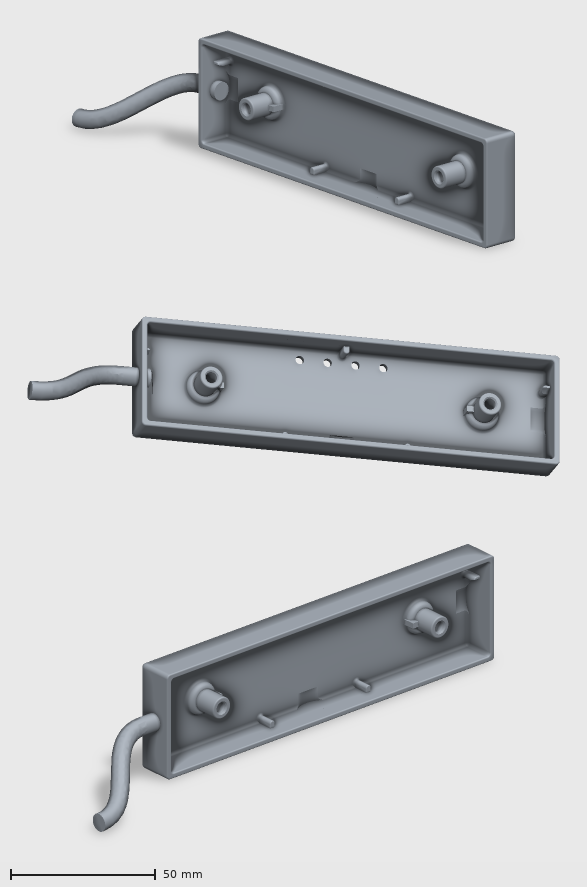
import cadquery as cq

LENGTH = 150.0
DEPTH = 14.0
HEIGHT = 40.0
WALL = 2.0
FLOOR = 2.0
OUTER_RADIUS = 1.5
RIM_RADIUS = 0.5
CAVITY_RADIUS = 1.2

INNER_X = LENGTH / 2 - WALL
INNER_Z = HEIGHT / 2 - WALL
FLOOR_Y = DEPTH - FLOOR

BOSS_X = 50.0
POST_RADIUS = 4.0
POST_TIP_Y = 0.0
POST_TIP_ROUND = 0.5
COLLAR_RADIUS = 6.0
COLLAR_FOOT_ROUND = 1.0
BORE_RADIUS = 2.0
BORE_CHAMFER = 0.5
KEY_REACH = 6.4
KEY_WIDTH = 2.0
KEY_TIP_Y = 7.0

SUPPORT_WIDTH = 2.2
SUPPORT_REACH = 2.6
SUPPORT_TIP_Y = 5.5
SUPPORT_TIP_ROUND = 0.4
SUPPORT_FOOT_ROUND = 0.8
BOTTOM_SUPPORT_X = 22.0
SIDE_SUPPORT_Z = 9.6

INDICATOR_DIAMETER = 3.0
INDICATOR_PITCH = 10.0
INDICATOR_COUNT = 4
INDICATOR_Z = 13.75

CHANNEL_WIDTH = 8.8
CHANNEL_LENGTH = 5.3
CHANNEL_DEPTH = 1.0

CABLE_RADIUS = 3.3
CABLE_Y = DEPTH / 2
CABLE_STRAIGHT = 10.0
CABLE_INSIDE = 4.4
BEND_LENGTH = 39.0
BEND_SHIFT_Y = -22.28
BEND_SHIFT_Z = -16.85
BEND_HANDLE = 19.0


def facing_front(y):
    """Workplane at the given Y whose extrusions run toward -Y; local axes are X and Z."""
    return cq.Workplane("XZ", origin=(0, y, 0))


def make_tray():
    tray = facing_front(DEPTH).rect(LENGTH, HEIGHT).extrude(DEPTH)
    tray = tray.edges("|Y").fillet(OUTER_RADIUS)
    tray = tray.faces(">Y").edges().fillet(OUTER_RADIUS)
    cavity = facing_front(FLOOR_Y).rect(2 * INNER_X, 2 * INNER_Z).extrude(FLOOR_Y)
    cavity = cavity.edges("|Y").fillet(CAVITY_RADIUS)
    cavity = cavity.faces(">Y").edges().fillet(CAVITY_RADIUS)
    return tray.cut(cavity).faces("<Y").edges().fillet(RIM_RADIUS)


def make_boss():
    """Boss on the Y axis, with its key rib on the +X side."""
    collar_round = COLLAR_RADIUS - POST_RADIUS
    collar_y = FLOOR_Y - COLLAR_FOOT_ROUND
    shoulder_y = collar_y - collar_round
    tip_edge_y = POST_TIP_Y + POST_TIP_ROUND
    body = (
        cq.Workplane("XY")
        .moveTo(0, FLOOR_Y)
        .lineTo(COLLAR_RADIUS + COLLAR_FOOT_ROUND, FLOOR_Y)
        .radiusArc((COLLAR_RADIUS, collar_y), -COLLAR_FOOT_ROUND)
        .radiusArc((POST_RADIUS, shoulder_y), collar_round)
        .lineTo(POST_RADIUS, tip_edge_y)
        .radiusArc((POST_RADIUS - POST_TIP_ROUND, POST_TIP_Y), POST_TIP_ROUND)
        .lineTo(0, POST_TIP_Y)
        .close()
        .revolve(360, (0, 0, 0), (0, 1, 0))
    )
    key = facing_front(FLOOR_Y).center(KEY_REACH / 2, 0).rect(KEY_REACH, KEY_WIDTH)
    return body.union(key.extrude(FLOOR_Y - KEY_TIP_Y))


def make_bore():
    """Through bore of a boss, countersunk at the post tip."""
    mouth_radius = BORE_RADIUS + BORE_CHAMFER
    return (
        cq.Workplane("XY")
        .moveTo(0, DEPTH)
        .lineTo(BORE_RADIUS, DEPTH)
        .lineTo(BORE_RADIUS, POST_TIP_Y + BORE_CHAMFER)
        .lineTo(mouth_radius, POST_TIP_Y)
        .lineTo(0, POST_TIP_Y)
        .close()
        .revolve(360, (0, 0, 0), (0, 1, 0))
    )


def make_support():
    """Round-nosed rib reaching toward +Z from a wall face at Z = 0, rooted in wall and floor."""
    root = WALL / 2
    half = SUPPORT_WIDTH / 2
    plate_width = SUPPORT_WIDTH + 4 * SUPPORT_FOOT_ROUND
    plate_reach = SUPPORT_REACH + 2 * SUPPORT_FOOT_ROUND
    plate = (
        facing_front(DEPTH - FLOOR / 2)
        .center(0, (plate_reach - root) / 2)
        .rect(plate_width, plate_reach + root)
        .extrude(FLOOR / 2)
    )
    rib = (
        facing_front(FLOOR_Y)
        .moveTo(-half, -root)
        .lineTo(half, -root)
        .lineTo(half, SUPPORT_REACH - half)
        .threePointArc((0, SUPPORT_REACH), (-half, SUPPORT_REACH - half))
        .close()
        .extrude(FLOOR_Y - SUPPORT_TIP_Y)
    )
    rib = rib.faces("<Y").edges("not <Z").fillet(SUPPORT_TIP_ROUND)
    margin = SUPPORT_FOOT_ROUND / 2
    foot_edges = cq.selectors.BoxSelector(
        (-half - margin, FLOOR_Y - margin, -root + margin),
        (half + margin, FLOOR_Y + margin, SUPPORT_REACH + margin),
    )
    return plate.union(rib).edges(foot_edges).fillet(SUPPORT_FOOT_ROUND)


def make_channel():
    """Cutter for a channel that runs toward +Z from a wall face at Z = 0."""
    radius = CHANNEL_WIDTH**2 / (8 * CHANNEL_DEPTH) + CHANNEL_DEPTH / 2
    axis_y = FLOOR_Y + CHANNEL_DEPTH - radius
    return cq.Workplane("XY").center(0, axis_y).circle(radius).extrude(CHANNEL_LENGTH)


def at_wall(feature, turn, x, z):
    """Turn a feature made for the bottom wall about Y and move it to another wall."""
    return feature.rotate((0, 0, 0), (0, 1, 0), turn).translate((x, 0, z))


FROM_BOTTOM, FROM_LEFT, FROM_TOP, FROM_RIGHT = 0, 90, 180, 270

housing = make_tray()

for side in (-1, 1):
    boss = make_boss()
    if side > 0:
        boss = boss.mirror("YZ")
    housing = housing.union(boss.translate((side * BOSS_X, 0, 0)))
    housing = housing.cut(make_bore().translate((side * BOSS_X, 0, 0)))

for turn, x, z in (
    (FROM_BOTTOM, -BOTTOM_SUPPORT_X, -INNER_Z),
    (FROM_BOTTOM, BOTTOM_SUPPORT_X, -INNER_Z),
    (FROM_TOP, 0, INNER_Z),
    (FROM_LEFT, -INNER_X, SIDE_SUPPORT_Z),
    (FROM_RIGHT, INNER_X, SIDE_SUPPORT_Z),
):
    housing = housing.union(at_wall(make_support(), turn, x, z))

for turn, x, z in (
    (FROM_BOTTOM, 0, -INNER_Z),
    (FROM_LEFT, -INNER_X, 0),
    (FROM_RIGHT, INNER_X, 0),
):
    housing = housing.cut(at_wall(make_channel(), turn, x, z))

indicators = (
    facing_front(DEPTH)
    .center(0, INDICATOR_Z)
    .rarray(INDICATOR_PITCH, 1, INDICATOR_COUNT, 1)
    .circle(INDICATOR_DIAMETER / 2)
    .extrude(FLOOR)
)
housing = housing.cut(indicators)

inside_x = -LENGTH / 2 + CABLE_INSIDE
bend_x = inside_x - CABLE_STRAIGHT


def cable_section():
    return cq.Workplane("YZ", origin=(bend_x, CABLE_Y, 0)).circle(CABLE_RADIUS)


straight = cable_section().extrude(CABLE_STRAIGHT)

bend_start = cq.Vector(bend_x, CABLE_Y, 0)
bend_end = bend_start + cq.Vector(-BEND_LENGTH, BEND_SHIFT_Y, BEND_SHIFT_Z)
handle = cq.Vector(BEND_HANDLE, 0, 0)
bend_path = cq.Edge.makeBezier([bend_start, bend_start - handle, bend_end + handle, bend_end])
bend = cable_section().sweep(cq.Workplane(cq.Wire.assembleEdges([bend_path])))
cable = straight.union(bend)

housing = housing.cut(straight)

result = cq.Compound.makeCompound([housing.val(), cable.val()])